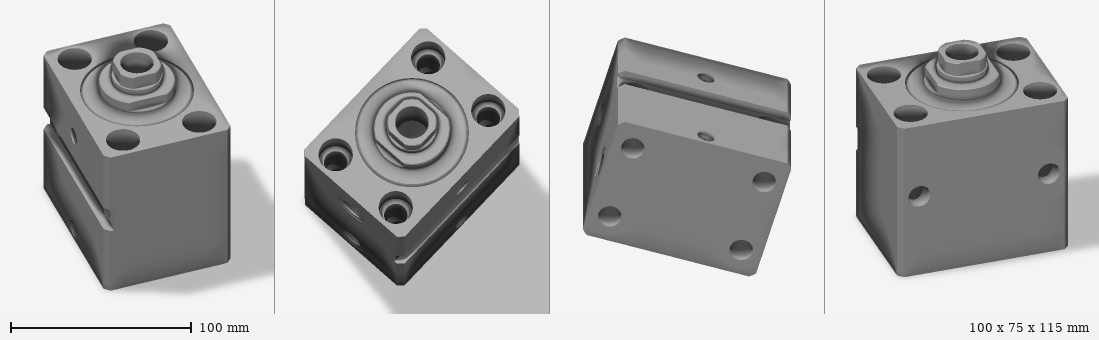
import cadquery as cq
import math


TOTAL_HEIGHT = 115.0
BLOCK_X = 100.0
BLOCK_Y = 75.0
BLOCK_Z = 95.0
CORNER_CHAMFER = 3.0

SLOT_WIDTH = 15.0
SLOT_DEPTH = 5.0
SLOT_Z = 50.0

BOLT_DIA = 13.0
BOLT_X = 38.0
BOLT_Y = 22.5
BOLT_HEAD_DIA = 19.0
BOLT_HEAD_DEPTH = 15.0

PORT_DIA = 13.2
PORT_DEPTH = 15.0
PORT_HEIGHTS = (14.5, 70.0)
PORT_FACE_DIA = 20.0
PORT_FACE_DEPTH = 0.2

VENT_DIA = 10.0
VENT_DEPTH = 2.0
VENT_HEIGHTS = (7.1, 73.0)

PILOT_DIA = 1.3
PILOT_DEPTH = 2.0

GLAND_DIA = 63.0
GLAND_DEPTH = 20.0
GLAND_RIM_CHAMFER = 1.7
COLLAR_DIA = 42.0
COLLAR_HEIGHT = 8.0
COLLAR_BEVEL = 0.6
COLLAR_FLATS = 36.0
COLLAR_FLAT_START = 2.0

ROD_DIA = 28.1
SHOULDER_HEIGHT = 12.0
HEAD_SQUARE = 24.0
THREAD_HOLE_DIA = 18.4
THREAD_HOLE_BEVEL = 0.3
THREAD_HOLE_DEPTH = 27.6
DRILL_TIP_ANGLE = 118.0

BEVEL = 0.5

FRONT_Y = -BLOCK_Y / 2
LEFT_X = -BLOCK_X / 2
GLAND_FLOOR_Z = BLOCK_Z - GLAND_DEPTH
COLLAR_TOP_Z = BLOCK_Z + COLLAR_HEIGHT
SHOULDER_Z = BLOCK_Z + SHOULDER_HEIGHT


def bore_from_left(diameter, depth, z, start=0.0):
    """Cylinder running in +X, beginning 'start' behind the -X face."""
    origin = cq.Vector(LEFT_X + start, 0, z)
    return cq.Solid.makeCylinder(diameter / 2, depth, origin, cq.Vector(1, 0, 0))


def bore_from_front(diameter, depth, z, x=0.0, start=0.0):
    """Cylinder running in +Y, beginning 'start' behind the front face."""
    origin = cq.Vector(x, FRONT_Y + start, z)
    return cq.Solid.makeCylinder(diameter / 2, depth, origin, cq.Vector(0, 1, 0))


def turned(profile):
    """Revolve a closed (radius, Z) outline about the Z axis."""
    return cq.Workplane("XZ").polyline(profile).close().revolve(360, (0, 0), (0, 1))


def make_housing():
    body = cq.Workplane("XY").box(BLOCK_X, BLOCK_Y, BLOCK_Z, centered=(True, True, False))
    body = body.edges("|Z").chamfer(CORNER_CHAMFER)

    slot = cq.Workplane("XY").box(BLOCK_X, 2 * SLOT_DEPTH, SLOT_WIDTH)
    body = body.cut(slot.translate((0, FRONT_Y, SLOT_Z)))

    corners = [(x, y) for x in (-BOLT_X, BOLT_X) for y in (-BOLT_Y, BOLT_Y)]
    body = (
        body.faces(">Z").workplane(origin=(0, 0, BLOCK_Z))
        .pushPoints(corners)
        .cboreHole(BOLT_DIA, BOLT_HEAD_DIA, BOLT_HEAD_DEPTH)
    )

    for x in (-BOLT_X, BOLT_X):
        body = body.cut(bore_from_front(BOLT_DIA, BLOCK_Y, SLOT_Z, x))

    for z in PORT_HEIGHTS:
        body = body.cut(bore_from_left(PORT_FACE_DIA, PORT_FACE_DEPTH, z))
        body = body.cut(bore_from_left(PORT_DIA, PORT_DEPTH, z))
        body = body.cut(bore_from_left(PILOT_DIA, PILOT_DEPTH, z, PORT_DEPTH))

    for z in VENT_HEIGHTS:
        body = body.cut(bore_from_front(VENT_DIA, VENT_DEPTH, z))
        body = body.cut(bore_from_front(PILOT_DIA, PILOT_DEPTH, z, start=VENT_DEPTH))

    recess = cq.Workplane("XY").workplane(offset=GLAND_FLOOR_Z).circle(GLAND_DIA / 2).extrude(GLAND_DEPTH)
    return body.cut(recess)


def make_gland():
    collar_r = COLLAR_DIA / 2
    gland_r = GLAND_DIA / 2
    rod_r = ROD_DIA / 2
    body = turned([
        (rod_r, GLAND_FLOOR_Z),
        (gland_r, GLAND_FLOOR_Z),
        (gland_r, BLOCK_Z - GLAND_RIM_CHAMFER),
        (gland_r - GLAND_RIM_CHAMFER, BLOCK_Z),
        (collar_r + COLLAR_BEVEL, BLOCK_Z),
        (collar_r, BLOCK_Z + COLLAR_BEVEL),
        (collar_r, COLLAR_TOP_Z - COLLAR_BEVEL),
        (collar_r - COLLAR_BEVEL, COLLAR_TOP_Z),
        (rod_r + BEVEL, COLLAR_TOP_Z),
        (rod_r, COLLAR_TOP_Z - BEVEL),
    ])

    flat_height = COLLAR_HEIGHT - COLLAR_FLAT_START
    flat_z = BLOCK_Z + COLLAR_FLAT_START + flat_height / 2
    for side in (-1, 1):
        beyond_flat = cq.Workplane("XY").box(COLLAR_DIA, COLLAR_DIA, flat_height)
        body = body.cut(beyond_flat.translate((side * (COLLAR_FLATS + COLLAR_DIA) / 2, 0, flat_z)))
    return body


def make_rod():
    rod_r = ROD_DIA / 2
    head_r = rod_r - BEVEL
    body = turned([
        (0, GLAND_FLOOR_Z),
        (rod_r, GLAND_FLOOR_Z),
        (rod_r, SHOULDER_Z - BEVEL),
        (head_r, SHOULDER_Z),
        (head_r, TOTAL_HEIGHT - BEVEL),
        (head_r - BEVEL, TOTAL_HEIGHT),
        (0, TOTAL_HEIGHT),
    ])

    head_height = TOTAL_HEIGHT - SHOULDER_Z
    outside_square = (
        cq.Workplane("XY").workplane(offset=SHOULDER_Z)
        .circle(ROD_DIA).rect(HEAD_SQUARE, HEAD_SQUARE).extrude(head_height)
    )
    body = body.cut(outside_square)

    hole_r = THREAD_HOLE_DIA / 2
    hole_floor_z = TOTAL_HEIGHT - THREAD_HOLE_DEPTH
    tip_depth = hole_r / math.tan(math.radians(DRILL_TIP_ANGLE / 2))
    hole = turned([
        (0, hole_floor_z - tip_depth),
        (hole_r, hole_floor_z),
        (hole_r, TOTAL_HEIGHT - THREAD_HOLE_BEVEL),
        (hole_r + THREAD_HOLE_BEVEL, TOTAL_HEIGHT),
        (0, TOTAL_HEIGHT),
    ])
    return body.cut(hole)


housing = make_housing()
gland = make_gland()
rod = make_rod()

result = cq.Compound.makeCompound([housing.val(), gland.val(), rod.val()])